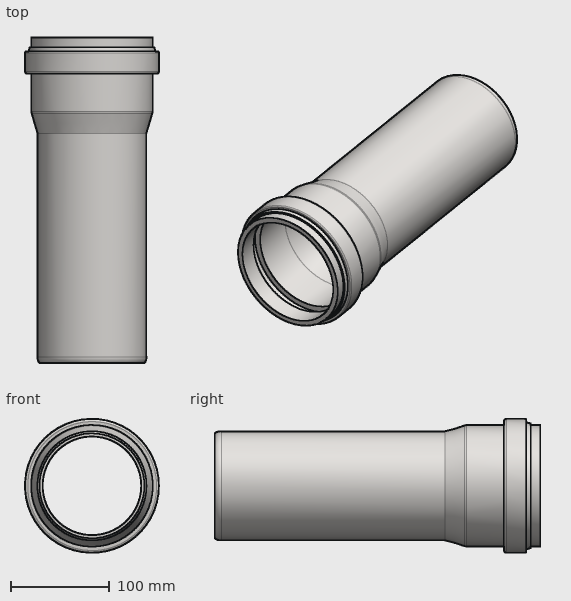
import cadquery as cq
import math

length = 330.0
pipe_radius = 110.5 / 2
bore_radius = 99.5 / 2

socket_radius = 123.5 / 2
socket_bore_radius = 112.2 / 2
cone_start_radius = 122.5 / 2
cone_small_end = 97.0
cone_blend_end = 77.0
cone_blend_start = 75.0

bead_radius = 136.0 / 2
groove_radius = 125.0 / 2
bead_wall = bead_radius - groove_radius
bead_near_face = 14.2
bead_far_face = 37.0
bead_near_fillet = 1.3
bead_far_fillet = 2.5
shoulder_start = 10.0
shoulder_small_radius = 63.5
shoulder_large_radius = 64.5

nose_length = 6.5
nose_radius = 53.0
nose_arc_x = 54.8
nose_arc_y = 2.5

mouth_y = length / 2
spigot_y = -length / 2
DIAGONAL = math.sqrt(0.5)


def from_mouth(distance):
    """Axial position at a distance from the socket mouth."""
    return mouth_y - distance


def outer_body():
    """Solid of revolution bounded by the outside of the pipe."""
    near_y = from_mouth(bead_near_face)
    far_y = from_mouth(bead_far_face)
    near_center_x = bead_radius - bead_near_fillet
    near_center_y = near_y - bead_near_fillet
    far_center_x = bead_radius - bead_far_fillet
    far_center_y = far_y + bead_far_fillet
    near_mid = bead_near_fillet * DIAGONAL
    far_mid = bead_far_fillet * DIAGONAL
    outline = (
        cq.Workplane("XY")
        .moveTo(0, spigot_y)
        .lineTo(nose_radius, spigot_y)
        .threePointArc(
            (nose_arc_x, spigot_y + nose_arc_y),
            (pipe_radius, spigot_y + nose_length),
        )
        .lineTo(pipe_radius, from_mouth(cone_small_end))
        .lineTo(cone_start_radius, from_mouth(cone_blend_end))
        .lineTo(socket_radius, from_mouth(cone_blend_start))
        .lineTo(socket_radius, far_y)
        .lineTo(far_center_x, far_y)
        .threePointArc(
            (far_center_x + far_mid, far_center_y - far_mid),
            (bead_radius, far_center_y),
        )
        .lineTo(bead_radius, near_center_y)
        .threePointArc(
            (near_center_x + near_mid, near_center_y + near_mid),
            (near_center_x, near_y),
        )
        .lineTo(shoulder_large_radius, near_y)
        .lineTo(shoulder_small_radius, from_mouth(shoulder_start))
        .lineTo(socket_radius, from_mouth(shoulder_start))
        .lineTo(socket_radius, mouth_y)
        .lineTo(0, mouth_y)
        .close()
    )
    return outline.revolve(360, (0, 0, 0), (0, 1, 0))


def inner_void():
    """Bore, inner cone, socket bore and seal groove."""
    groove_near_y = from_mouth(bead_near_face + bead_wall)
    groove_far_y = from_mouth(bead_far_face - bead_wall)
    outline = (
        cq.Workplane("XY")
        .moveTo(0, spigot_y)
        .lineTo(bore_radius, spigot_y)
        .lineTo(bore_radius, from_mouth(cone_small_end))
        .lineTo(socket_bore_radius, from_mouth(cone_blend_start))
        .lineTo(socket_bore_radius, groove_far_y)
        .lineTo(groove_radius, groove_far_y)
        .lineTo(groove_radius, groove_near_y)
        .lineTo(socket_bore_radius, groove_near_y)
        .lineTo(socket_bore_radius, mouth_y)
        .lineTo(0, mouth_y)
        .close()
    )
    return outline.revolve(360, (0, 0, 0), (0, 1, 0))


result = outer_body().cut(inner_void())